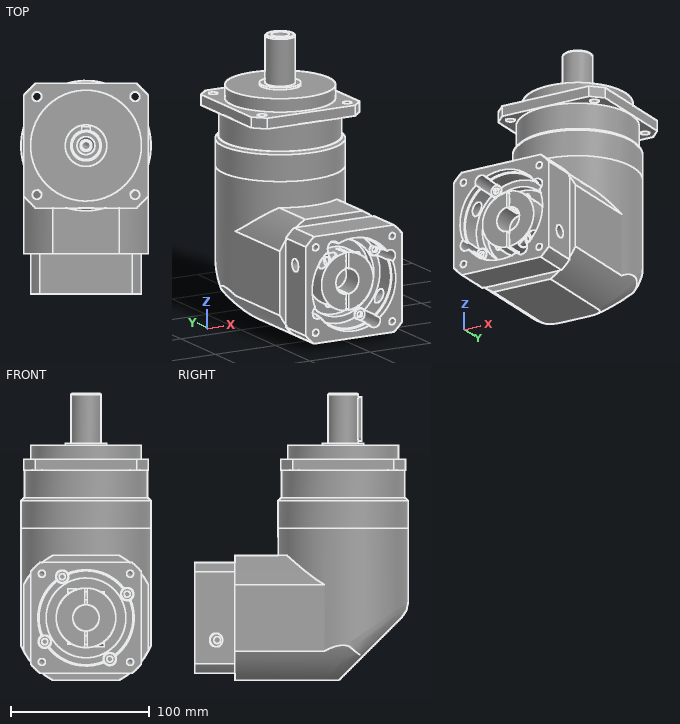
import cadquery as cq
import math


shaft_length = 36
shaft_top_z = 162
collar_top_z = shaft_top_z - shaft_length
pilot_top_z = collar_top_z - 1.5
flange_top_z = pilot_top_z - 10
flange_bottom_z = flange_top_z - 8
neck_bottom_z = 86.5
barrel_chamfer = 2
barrel_bottom_z = 64.5

shaft_radius = 11
shaft_chamfer = 1
collar_radius = 15
pilot_radius = 40
flange_size = 90
flange_corner_chamfer = 8.5
flange_hole_diameter = 6.6
flange_hole_circle_radius = 50
neck_radius = 44.5
barrel_radius = 47

key_width = 6
key_length = 32
key_top_y = 13.5
key_end_gap = 2.6

centre_mouth_radius = 6.5
centre_relief_radius = 4.2
centre_cone_depth = 3
centre_relief_depth = 7
centre_drill_diameter = 6.2
centre_drill_depth = 22

block_size = 90
block_round_radius = 51
elbow_face_y = -78
mitre_offset = 42
mitre_fillet = 15

adapter_size = 80
adapter_round_radius = 52
adapter_face_y = -107
adapter_length = elbow_face_y - adapter_face_y
motor_pilot_radius = 34.75
motor_pilot_depth = 6
bell_radius = 33.9
bell_depth = 21.5
inner_bore_radius = 28.8
motor_hole_diameter = 5
motor_hole_depth = 12
motor_hole_circle_radius = 45
drill_tip_angle = 118

fixing_screw_circle_radius = 34.3
fixing_screw_first_angle = 30
fixing_pocket_radius = 4.7
fixing_head_radius = 4.25
fixing_head_height = 5
fixing_socket_radius = 2.2
fixing_socket_depth = 2.5

hub_radius = 21.5
hub_face_y = adapter_face_y + 9.6
hub_bore_radius = 9.5
hub_bore_depth = 18
slit_width = 2.1
slit_depth = 14
clamp_screw_y = -90.8
clamp_screw_z = 16
clamp_thread_radius = 3
clamp_head_radius = 5
clamp_head_length = 6
clamp_screw_half_length = 13
clamp_pocket_radius = 5.4
clamp_socket_radius = 2.5
clamp_socket_depth = 3
access_hole_y = -91.6
access_hole_radius = 4.75


def z_cylinder(radius, bottom_z, top_z):
    return cq.Workplane("XY").workplane(offset=bottom_z).circle(radius).extrude(top_z - bottom_z)


def y_cylinder(radius, start_y, length):
    """Cylinder about the input axis, running from start_y toward +Y."""
    return cq.Workplane("XZ", origin=(0, start_y, 0)).circle(radius).extrude(-length)


def rounded_square_bar(size, round_radius, start_y, length):
    """Square bar along Y whose four corners lie on one cylinder about the input axis."""
    bar = cq.Workplane("XZ", origin=(0, start_y, 0)).rect(size, size).extrude(-length)
    return bar.intersect(y_cylinder(round_radius, start_y, length))


def shaft_key():
    centre_z = shaft_top_z - key_end_gap - key_length / 2
    return cq.Workplane("XZ", origin=(0, 0, centre_z)).slot2D(key_length, key_width, 90).extrude(-key_top_y)


def shaft_centre_hole():
    """Countersink, thread relief and pointed drill hole in the shaft end."""
    drill_radius = centre_drill_diameter / 2
    tip_depth = drill_radius / math.tan(math.radians(drill_tip_angle / 2))
    return (
        cq.Workplane("XZ", origin=(0, 0, shaft_top_z))
        .lineTo(centre_mouth_radius, 0)
        .lineTo(centre_relief_radius, -centre_cone_depth)
        .lineTo(centre_relief_radius, -centre_relief_depth)
        .lineTo(drill_radius, -centre_relief_depth)
        .lineTo(drill_radius, -centre_drill_depth)
        .lineTo(0, -centre_drill_depth - tip_depth)
        .close()
        .revolve(360, (0, 0, 0), (0, 1, 0))
    )


def make_output_stage():
    barrel = z_cylinder(barrel_radius, barrel_bottom_z, neck_bottom_z)
    barrel = barrel.faces(">Z").edges().chamfer(barrel_chamfer)
    neck = z_cylinder(neck_radius, barrel_bottom_z, flange_bottom_z)
    hole_spacing = math.sqrt(2) * flange_hole_circle_radius
    flange = (
        cq.Workplane("XY")
        .workplane(offset=flange_bottom_z)
        .rect(flange_size, flange_size)
        .extrude(flange_top_z - flange_bottom_z)
        .edges("|Z")
        .chamfer(flange_corner_chamfer)
        .faces(">Z")
        .workplane()
        .rect(hole_spacing, hole_spacing, forConstruction=True)
        .vertices()
        .hole(flange_hole_diameter)
    )
    pilot = z_cylinder(pilot_radius, flange_bottom_z, pilot_top_z)
    collar = z_cylinder(collar_radius, flange_bottom_z, collar_top_z)
    shaft = z_cylinder(shaft_radius, flange_bottom_z, shaft_top_z)
    shaft = shaft.faces(">Z").edges().chamfer(shaft_chamfer)
    stage = barrel.union(neck).union(flange).union(pilot).union(collar).union(shaft)
    return stage.union(shaft_key()).cut(shaft_centre_hole())


def make_elbow():
    reach = 2 * barrel_radius
    lower_half = cq.Workplane("XY").rect(2 * reach, 2 * reach).extrude(-block_round_radius)
    corner_round = y_cylinder(block_round_radius, -reach, 2 * reach)

    elbow = z_cylinder(barrel_radius, -block_round_radius, barrel_bottom_z)
    block_height = block_size / 2 + block_round_radius
    block = cq.Workplane("XY", origin=(0, elbow_face_y / 2, -block_round_radius))
    block = block.rect(block_size, -elbow_face_y).extrude(block_height)
    elbow = elbow.union(block.intersect(corner_round.union(lower_half)))

    elbow = elbow.cut(lower_half.cut(corner_round))

    mitre_wedge = (
        cq.Workplane("YZ")
        .moveTo(mitre_offset - reach, -reach)
        .lineTo(reach, -reach)
        .lineTo(reach, reach - mitre_offset)
        .close()
        .extrude(reach, both=True)
    )
    back_direction = cq.selectors.DirectionMinMaxSelector(cq.Vector(0, 1, -1), True)
    elbow = elbow.cut(mitre_wedge).faces(back_direction).edges().fillet(mitre_fillet)

    underside_waste = (
        cq.Workplane("XY")
        .workplane(offset=-block_size / 2)
        .rect(2 * reach, 2 * reach)
        .extrude(-block_round_radius)
    )
    return elbow.cut(underside_waste)


def polar_points(radius, first_angle):
    """Four points (x, z) equally spaced round the input axis."""
    angles = [math.radians(first_angle + 90 * quarter) for quarter in range(4)]
    return [(radius * math.cos(angle), radius * math.sin(angle)) for angle in angles]


def motor_screw_hole(x, z):
    """Blind hole with a drill-point bottom in the motor face."""
    radius = motor_hole_diameter / 2
    tip_depth = radius / math.tan(math.radians(drill_tip_angle / 2))
    return (
        cq.Workplane("XY", origin=(x, adapter_face_y, z))
        .lineTo(radius, 0)
        .lineTo(radius, motor_hole_depth)
        .lineTo(0, motor_hole_depth + tip_depth)
        .close()
        .revolve(360, (0, 0, 0), (0, 1, 0))
    )


def fixing_screw_head(x, z):
    """Socket head standing on the floor of its pocket, flush with the bell floor."""
    head_top_y = adapter_face_y + bell_depth
    head = y_cylinder(fixing_head_radius, head_top_y, fixing_head_height)
    socket = y_cylinder(fixing_socket_radius, head_top_y, fixing_socket_depth)
    return head.cut(socket).translate((x, 0, z))


def make_adapter():
    adapter = rounded_square_bar(adapter_size, adapter_round_radius, adapter_face_y, adapter_length)
    adapter = adapter.cut(y_cylinder(motor_pilot_radius, adapter_face_y, motor_pilot_depth))
    adapter = adapter.cut(y_cylinder(bell_radius, adapter_face_y, bell_depth))
    adapter = adapter.cut(y_cylinder(inner_bore_radius, adapter_face_y, adapter_length))
    for x, z in polar_points(motor_hole_circle_radius, 45):
        adapter = adapter.cut(motor_screw_hole(x, z))
    pocket = y_cylinder(fixing_pocket_radius, adapter_face_y, bell_depth + fixing_head_height)
    for x, z in polar_points(fixing_screw_circle_radius, fixing_screw_first_angle):
        adapter = adapter.cut(pocket.translate((x, 0, z)))
        adapter = adapter.union(fixing_screw_head(x, z))
    access_hole = (
        cq.Workplane("YZ", origin=(0, access_hole_y, clamp_screw_z))
        .circle(access_hole_radius)
        .extrude(-adapter_size / 2)
    )
    adapter = adapter.cut(access_hole)
    return adapter.cut(access_hole.rotate((0, 0, 0), (0, 1, 0), 180))


def clamp_screw_cylinder(radius, start_x, length):
    return (
        cq.Workplane("YZ", origin=(start_x, clamp_screw_y, clamp_screw_z)).circle(radius).extrude(length)
    )


def make_hub():
    hub = y_cylinder(hub_radius, hub_face_y, elbow_face_y - hub_face_y)
    hub = hub.cut(y_cylinder(hub_bore_radius, hub_face_y, hub_bore_depth))
    slit = cq.Workplane("XZ", origin=(0, hub_face_y, 0)).rect(slit_width, 2 * hub_radius).extrude(-slit_depth)
    hub = hub.cut(slit)

    head_seat_x = clamp_head_length - clamp_screw_half_length
    pocket = clamp_screw_cylinder(clamp_pocket_radius, head_seat_x, -hub_radius)
    head = clamp_screw_cylinder(clamp_head_radius, -clamp_screw_half_length, clamp_head_length)
    socket = clamp_screw_cylinder(clamp_socket_radius, -clamp_screw_half_length, clamp_socket_depth)
    thread = clamp_screw_cylinder(clamp_thread_radius, head_seat_x, clamp_screw_half_length - head_seat_x)
    screw = head.cut(socket).union(thread)
    for angle in (0, 180):
        hub = hub.cut(pocket.rotate((0, 0, 0), (0, 1, 0), angle))
        hub = hub.union(screw.rotate((0, 0, 0), (0, 1, 0), angle))
    return hub


output_stage = make_output_stage()
elbow = make_elbow()
adapter = make_adapter()
hub = make_hub()

result = cq.Compound.makeCompound([output_stage.val(), elbow.val(), adapter.val(), hub.val()])